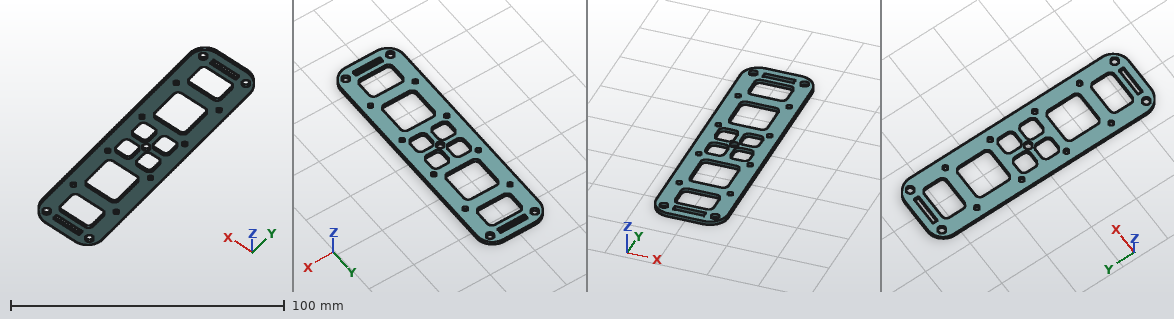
import cadquery as cq

length = 100.0
width = 28.0
thickness = 1.5
corner_radius = 7.0

large_hole_diameter = 3.1
small_hole_diameter = 2.0
hole_x = 10.0
corner_hole_y = 45.7
small_hole_rows = (10.0, 30.0)

slot_width = 12.0
slot_height = 2.0
slot_y = 45.8

window_width = 15.0
inner_window_height = 15.0
outer_window_height = 10.0
inner_window_y = 20.0
outer_window_y = 37.5
window_radius = 2.0

cluster_size = 7.5
cluster_offset = 4.9
cluster_radius = 2.0


def mirrored(x, y):
    """Points at every sign combination of x and y; x = 0 gives a single column."""
    x_values = (-x, x) if x else (0,)
    return [(px, py) for px in x_values for py in (-y, y)]


def round_cutter(diameter, points):
    return cq.Workplane("XY").pushPoints(points).circle(diameter / 2).extrude(thickness)


def rectangular_cutter(size_x, size_y, points, radius=0):
    cutter = cq.Workplane("XY").pushPoints(points).rect(size_x, size_y).extrude(thickness)
    return cutter.edges("|Z").fillet(radius) if radius else cutter


plate = cq.Workplane("XY").rect(width, length).extrude(thickness)
plate = plate.edges("|Z").fillet(corner_radius)

plate = plate.cut(round_cutter(large_hole_diameter, mirrored(hole_x, corner_hole_y) + [(0, 0)]))
for row_y in small_hole_rows:
    plate = plate.cut(round_cutter(small_hole_diameter, mirrored(hole_x, row_y)))

plate = plate.cut(rectangular_cutter(slot_width, slot_height, mirrored(0, slot_y)))

for height, y in ((inner_window_height, inner_window_y), (outer_window_height, outer_window_y)):
    plate = plate.cut(rectangular_cutter(window_width, height, mirrored(0, y), window_radius))

cluster_points = mirrored(cluster_offset, cluster_offset)
plate = plate.cut(rectangular_cutter(cluster_size, cluster_size, cluster_points, cluster_radius))

result = plate